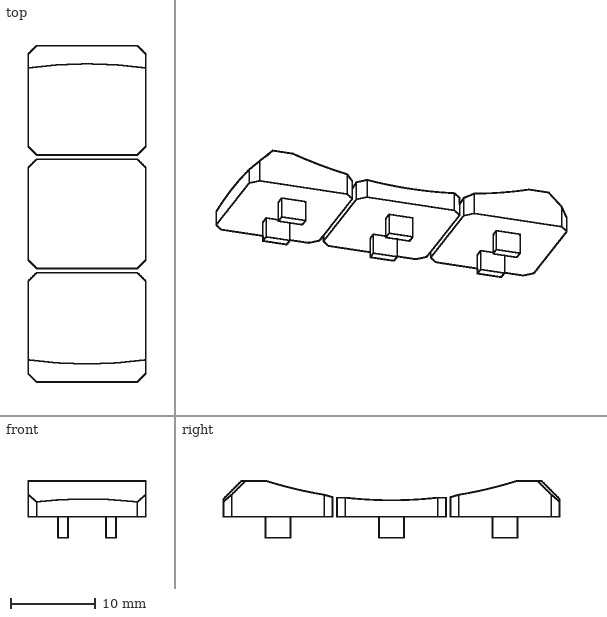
import cadquery as cq


cap_width = 14.0
cap_depth = 13.0
cap_pitch = 13.5
cap_height = 4.28
corner_chamfer = 1.0

dish_radius = 50.0
dish_floor = 1.5

bevel_drop = 2.15
bevel_radius = 50.0

leg_width = 1.2
leg_depth = 3.0
leg_length = 2.5
leg_spacing = 5.7

column_end = cap_pitch + cap_depth / 2


def cap_block(center_y):
    """Plain block with its four vertical corners cut at 45 degrees."""
    return (
        cq.Workplane("XY")
        .center(0, center_y)
        .rect(cap_width, cap_depth)
        .extrude(cap_height)
        .edges("|Z")
        .chamfer(corner_chamfer)
    )


def dish_cutter():
    """Sphere whose lowest point is the centre of the middle cap."""
    center_z = dish_floor + dish_radius
    return cq.Workplane("XY").sphere(dish_radius).translate((0, 0, center_z))


def bevel_envelope(side):
    """45 degree cone frustum, axis along Z, bevelling the +Y (side=1) or -Y (side=-1) end."""
    bottom_radius = bevel_radius + cap_height
    bevel_top_y = column_end - bevel_drop
    axis_y = side * (bevel_top_y - bevel_radius)
    cone = cq.Solid.makeCone(bottom_radius, bevel_radius, cap_height)
    return cq.Workplane(obj=cone.translate(cq.Vector(0, axis_y, 0)))


def legs(center_y):
    """Pair of rectangular legs under one cap."""
    return (
        cq.Workplane("XY")
        .center(0, center_y)
        .rarray(leg_spacing, 1, 2, 1)
        .rect(leg_width, leg_depth)
        .extrude(-leg_length)
    )


def keycap(row):
    """One keycap; row is -1, 0 or 1 along Y, and only the outer rows are bevelled."""
    center_y = row * cap_pitch
    cap = cap_block(center_y).cut(dish_cutter())
    if row != 0:
        cap = cap.intersect(bevel_envelope(row))
    return cap.union(legs(center_y))


keycaps = [keycap(row) for row in (-1, 0, 1)]

result = cq.Compound.makeCompound([cap.solids().val() for cap in keycaps])